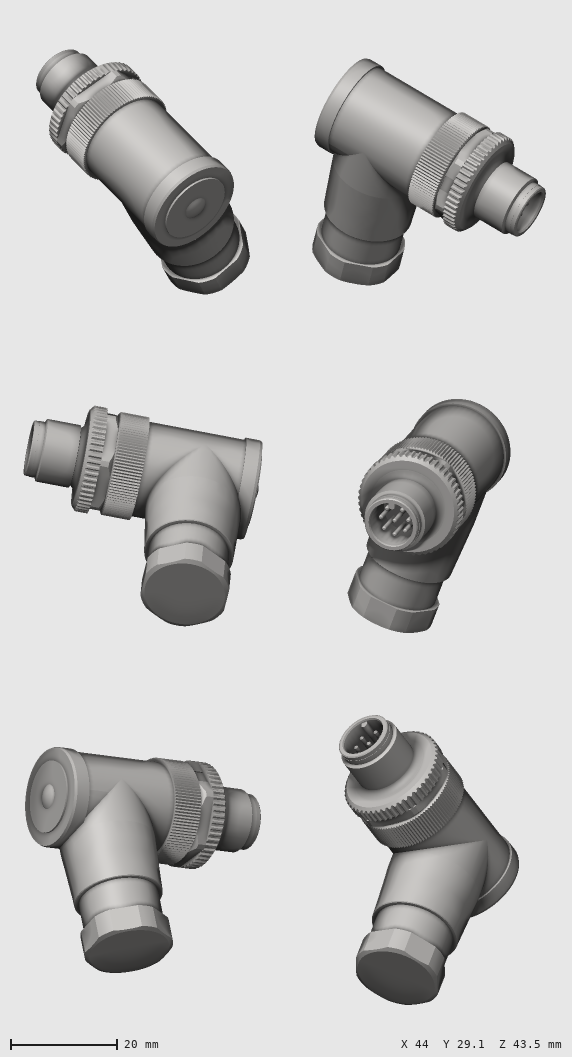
import cadquery as cq
import math

NOSE_R = 5.28
NOSE_CHAMFER = 0.2
NOSE_LAND_R = 5.35
NOSE_LAND_X = 1.0
NOSE_END_X = 2.1
THREAD_R = 6.0
THREAD_START_X = 2.4
THREAD_END_X = 8.75
NECK_R = 5.45
NECK_X = 8.85
NECK_CURVE_R = 2.5

COLLAR_X = 9.97
COLLAR_FLARE_R = 7.37
COLLAR_FACE_R = 9.2
COLLAR_R = 10.1
COLLAR_SHOULDER_X = 10.7
COLLAR_END_X = 13.07
COLLAR_GROOVES = 52
COLLAR_FIRST_GROOVE = -5
COLLAR_GROOVE_DEPTH = 0.35
COLLAR_GROOVE_WIDTH = 0.9
COLLAR_GROOVE_FLOOR = 0.35

HEX_R = COLLAR_R
HEX_FLATS = 18.0
HEX_TAPER_X = 14.66
HEX_END_X = 15.36
HEX_END_R = 9.33
HEX_CORNER_ANGLE = 49.3
HEX_SIDES = 6
MARK_WIDTH = 3.0
MARK_DEPTH = 0.2
MARK_ANGLE = HEX_CORNER_ANGLE + 90

RING_X = 15.45
RING_FACE_R = 9.35
RING_R = 9.85
RING_SHOULDER_X = 15.75
RING_END_X = 21.15
RING_TEETH = 103
RING_TOOTH_DEPTH = 0.27

BODY_R = 9.05
FLANGE_X = 39.8
FLANGE_R = 9.5
FLANGE_END_X = 42.9
FLANGE_EDGE_LENGTH = 0.5
FLANGE_EDGE_DROP = 0.2
PLATE_R = 6.85
PLATE_END_X = 43.3
DOME_R = 2.36
DOME_TIP_X = 44.0

BORE_R = 4.25
FLOOR_R = 4.05
MOUTH_R = 4.4
MOUTH_DEPTH = 0.35
BORE_DEPTH = 8.0
PIN_R = 0.42
PIN_CIRCLE_R = 2.75
PIN_STEP = 49
PINS_PER_SIDE = 3
PIN_TIP_X = 2.0
PIN_TIP_CHAMFER = 0.2
PIN_ROOT = 1.0
KEY_HALF_WIDTH = 0.6
KEY_CENTRE_Z = 3.58
KEY_START_X = 0.5

BRANCH_X = 32.16
BRANCH_TILT = 20
SLEEVE_STRAIGHT = 9.4
SLEEVE_END = 21.15
SLEEVE_END_R = 8.45
SLEEVE_EDGE = 0.15
SHANK_R = 7.6
GLAND_START = 27.72
GLAND_END = 32.73
GLAND_R = 8.45
GLAND_FLATS = 16.0
GLAND_EDGE_LENGTH = 0.4
GLAND_EDGE_DROP = 0.85


def turned(profile):
    """Revolve an (x, r) profile drawn in the XY plane about the X axis."""
    return profile.close().revolve(360, (0, 0, 0), (1, 0, 0))


def bar(x_start, x_end, radius):
    return cq.Workplane("YZ", origin=(x_start, 0, 0)).circle(radius).extrude(x_end - x_start)


def around_axis(angle):
    """Rotation about X for an angle counted from -Y towards +Z."""
    return 180 - angle


def collar_grooves():
    """Trapezoidal axial grooves, evenly spaced around the collar."""
    floor_r = COLLAR_R - COLLAR_GROOVE_DEPTH
    outer_r = COLLAR_R + COLLAR_GROOVE_DEPTH
    floor_half = COLLAR_GROOVE_FLOOR / 2
    outer_half = COLLAR_GROOVE_WIDTH - floor_half
    groove = (
        cq.Workplane("YZ", origin=(COLLAR_X, 0, 0))
        .polyline([
            (floor_r, -floor_half), (outer_r, -outer_half), (outer_r, outer_half), (floor_r, floor_half),
        ])
        .close()
        .extrude(COLLAR_END_X - COLLAR_X)
    )
    cutters = []
    for i in range(COLLAR_GROOVES):
        turn = around_axis(COLLAR_FIRST_GROOVE + i * 360 / COLLAR_GROOVES)
        cutters.append(groove.rotate((0, 0, 0), (1, 0, 0), turn).val())
    return cq.Workplane("XY").newObject([cq.Compound.makeCompound(cutters)])


def zigzag_prism():
    """Prism along X with sharp teeth, the blank for the knurled ring."""
    points = []
    for i in range(2 * RING_TEETH):
        angle = math.pi * i / RING_TEETH
        radius = RING_R - RING_TOOTH_DEPTH * (i % 2)
        points.append((-radius * math.cos(angle), radius * math.sin(angle)))
    return cq.Workplane("YZ", origin=(RING_X, 0, 0)).polyline(points).close().extrude(RING_END_X - RING_X)


def make_plug():
    profile = (
        cq.Workplane("XY")
        .lineTo(0, NOSE_R - NOSE_CHAMFER)
        .lineTo(NOSE_CHAMFER, NOSE_R)
        .lineTo(NOSE_LAND_X, NOSE_R)
        .lineTo(NOSE_LAND_X, NOSE_LAND_R)
        .lineTo(NOSE_END_X, NOSE_LAND_R)
        .lineTo(THREAD_START_X, THREAD_R)
        .lineTo(THREAD_END_X, THREAD_R)
        .lineTo(NECK_X, NECK_R)
        .radiusArc((COLLAR_X, COLLAR_FLARE_R), -NECK_CURVE_R)
        .lineTo(COLLAR_X, 0)
    )
    return turned(profile)


def make_socket():
    profile = (
        cq.Workplane("XY")
        .lineTo(0, MOUTH_R)
        .lineTo(MOUTH_DEPTH, BORE_R)
        .lineTo(BORE_DEPTH, FLOOR_R)
        .lineTo(BORE_DEPTH, 0)
    )
    return turned(profile)


def make_contacts():
    spots = [(0, 0)]
    for i in range(-PINS_PER_SIDE, PINS_PER_SIDE + 1):
        angle = math.radians(i * PIN_STEP)
        spots.append((PIN_CIRCLE_R * math.sin(angle), -PIN_CIRCLE_R * math.cos(angle)))
    pins = (
        cq.Workplane("YZ", origin=(PIN_TIP_X, 0, 0))
        .pushPoints(spots)
        .circle(PIN_R)
        .extrude(BORE_DEPTH + PIN_ROOT - PIN_TIP_X)
    )
    return pins.faces("<X").chamfer(PIN_TIP_CHAMFER)


def make_key():
    wall_z = (BORE_R + NOSE_R) / 2
    return (
        cq.Workplane("YZ", origin=(KEY_START_X, 0, 0))
        .moveTo(-KEY_HALF_WIDTH, wall_z)
        .lineTo(-KEY_HALF_WIDTH, KEY_CENTRE_Z)
        .threePointArc((0, KEY_CENTRE_Z - KEY_HALF_WIDTH), (KEY_HALF_WIDTH, KEY_CENTRE_Z))
        .lineTo(KEY_HALF_WIDTH, wall_z)
        .close()
        .extrude(BORE_DEPTH - KEY_START_X)
    )


def make_collar():
    profile = (
        cq.Workplane("XY")
        .moveTo(COLLAR_X, 0)
        .lineTo(COLLAR_X, COLLAR_FACE_R)
        .lineTo(COLLAR_SHOULDER_X, COLLAR_R)
        .lineTo(COLLAR_END_X, COLLAR_R)
        .lineTo(COLLAR_END_X, 0)
    )
    return turned(profile).cut(collar_grooves())


def make_hexagon():
    profile = (
        cq.Workplane("XY")
        .moveTo(COLLAR_END_X, 0)
        .lineTo(COLLAR_END_X, HEX_R)
        .lineTo(HEX_TAPER_X, HEX_R)
        .lineTo(HEX_END_X, HEX_END_R)
        .lineTo(HEX_END_X, 0)
    )
    across_corners = HEX_FLATS / math.cos(math.pi / HEX_SIDES)
    length = HEX_END_X - COLLAR_END_X
    prism = (
        cq.Workplane("YZ", origin=(COLLAR_END_X, 0, 0))
        .polygon(HEX_SIDES, across_corners)
        .extrude(length)
        .rotate((0, 0, 0), (1, 0, 0), around_axis(HEX_CORNER_ANGLE))
    )
    mark = (
        cq.Workplane("XY")
        .box(length, MARK_DEPTH * 2, MARK_WIDTH)
        .translate((COLLAR_END_X + length / 2, HEX_FLATS / 2, 0))
        .rotate((0, 0, 0), (1, 0, 0), around_axis(MARK_ANGLE))
    )
    return turned(profile).intersect(prism).cut(mark)


def make_ring():
    profile = (
        cq.Workplane("XY")
        .moveTo(RING_X, 0)
        .lineTo(RING_X, RING_FACE_R)
        .lineTo(RING_SHOULDER_X, RING_R)
        .lineTo(RING_END_X, RING_R)
        .lineTo(RING_END_X, 0)
    )
    return turned(profile).intersect(zigzag_prism())


def make_cap():
    edge_x = FLANGE_END_X - FLANGE_EDGE_LENGTH
    dome_height = DOME_TIP_X - PLATE_END_X
    dome_radius = (DOME_R ** 2 + dome_height ** 2) / (2 * dome_height)
    profile = (
        cq.Workplane("XY")
        .moveTo(FLANGE_X, 0)
        .lineTo(FLANGE_X, FLANGE_R)
        .lineTo(edge_x, FLANGE_R)
        .lineTo(FLANGE_END_X, FLANGE_R - FLANGE_EDGE_DROP)
        .lineTo(FLANGE_END_X, PLATE_R)
        .lineTo(PLATE_END_X, PLATE_R)
        .lineTo(PLATE_END_X, DOME_R)
        .radiusArc((DOME_TIP_X, 0), dome_radius)
    )
    return turned(profile)


def make_branch():
    """Sleeve, shank and gland nut, built along +Z and then tilted into place."""
    sleeve = (
        cq.Workplane("XZ")
        .lineTo(BODY_R, 0)
        .lineTo(BODY_R, SLEEVE_STRAIGHT)
        .lineTo(SLEEVE_END_R, SLEEVE_END - SLEEVE_EDGE)
        .lineTo(SLEEVE_END_R - SLEEVE_EDGE, SLEEVE_END)
        .lineTo(SHANK_R, SLEEVE_END)
        .lineTo(SHANK_R, GLAND_START)
        .lineTo(0, GLAND_START)
        .close()
        .revolve(360, (0, 0, 0), (0, 1, 0))
    )
    gland_round = (
        cq.Workplane("XZ")
        .moveTo(0, GLAND_START)
        .lineTo(GLAND_R, GLAND_START)
        .lineTo(GLAND_R, GLAND_END - GLAND_EDGE_LENGTH)
        .lineTo(GLAND_R - GLAND_EDGE_DROP, GLAND_END)
        .lineTo(0, GLAND_END)
        .close()
        .revolve(360, (0, 0, 0), (0, 1, 0))
    )
    gland_hex = (
        cq.Workplane("XY", origin=(0, 0, GLAND_START))
        .polygon(HEX_SIDES, GLAND_FLATS / math.cos(math.pi / HEX_SIDES))
        .extrude(GLAND_END - GLAND_START)
        .rotate((0, 0, 0), (0, 0, 1), 180 / HEX_SIDES)
    )
    branch = sleeve.union(gland_round.intersect(gland_hex))
    return branch.rotate((0, 0, 0), (1, 0, 0), 180 + BRANCH_TILT).translate((BRANCH_X, 0, 0))


body = bar(HEX_END_X, FLANGE_X, BODY_R)
result = body.union(make_branch()).union(make_cap())
for section in (make_ring(), make_hexagon(), make_collar(), make_plug()):
    result = result.union(section)
result = result.cut(make_socket()).union(make_contacts()).union(make_key())